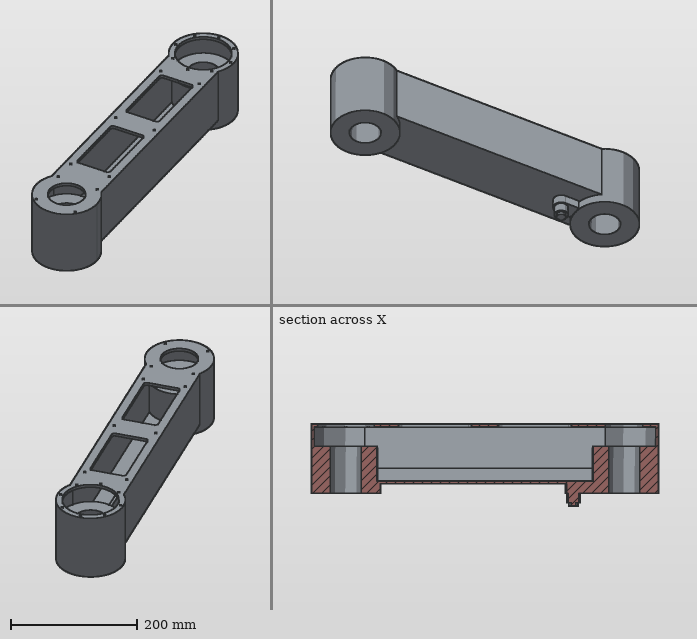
import cadquery as cq

END_SPACING = 440.0
END_DIAMETER = 110.0
END_HEIGHT = 110.0
BEAM_WIDTH = 90.0
BEAM_BOTTOM = 15.0
WALL = 5.0
LID_THICKNESS = 5.0

END_FLOOR_DEPTH = 35.0
BORE_DIAMETER = 50.0
FAR_OPENING_DIAMETER = 90.0
NEAR_OPENING_DIAMETER = 60.0

WINDOW_WIDTH = 60.0
WINDOW_LENGTH = 115.0
WINDOW_CENTER_Y = 79.0
WINDOW_CORNER_RADIUS = 5.0

RIB_WIDTH = 5.0
RIB_HEIGHT = 20.0

SCREW_DIAMETER = 3.24
SCREW_CIRCLE_DIAMETER = 100.0
FAR_SCREW_COUNT = 8
NEAR_SCREW_COUNT = 4
NEAR_SCREW_START_ANGLE = 45.0
BEAM_SCREW_X = 35.0
BEAM_SCREW_SPACING = 145.0

CONNECTOR_Y = -140.0
BOSS_WIDTH = 26.0
CONNECTOR_DIAMETER = 22.0
CONNECTOR_LENGTH = 15.0
TIP_DIAMETER = 15.0
TIP_LENGTH = 5.0

FAR_Y = END_SPACING / 2
NEAR_Y = -FAR_Y
LID_BOTTOM = END_HEIGHT - LID_THICKNESS
END_FLOOR = END_HEIGHT - END_FLOOR_DEPTH
CAVITY_FLOOR = BEAM_BOTTOM + WALL


def cylinder(y, diameter, bottom, top):
    """Upright cylinder on the arm's centre line."""
    return cq.Workplane("XY", origin=(0, y, bottom)).circle(diameter / 2).extrude(top - bottom)


def block(y, width, length, bottom, top):
    """Upright block on the arm's centre line."""
    return cq.Workplane("XY", origin=(0, y, bottom)).rect(width, length).extrude(top - bottom)


def make_body():
    body = block(0, BEAM_WIDTH, END_SPACING, BEAM_BOTTOM, END_HEIGHT)
    for y in (FAR_Y, NEAR_Y):
        body = body.union(cylinder(y, END_DIAMETER, 0, END_HEIGHT))
    return body


def make_cavity():
    """Deep beam cavity with a shallower round chamber in each end."""
    cavity = block(0, BEAM_WIDTH - 2 * WALL, END_SPACING, CAVITY_FLOOR, LID_BOTTOM)
    rib = block(0, RIB_WIDTH, END_SPACING, CAVITY_FLOOR, CAVITY_FLOOR + RIB_HEIGHT)
    cavity = cavity.cut(rib)
    chamber_diameter = END_DIAMETER - 2 * WALL
    for y in (FAR_Y, NEAR_Y):
        cavity = cavity.cut(cylinder(y, chamber_diameter, 0, END_FLOOR))
        cavity = cavity.union(cylinder(y, chamber_diameter, END_FLOOR, LID_BOTTOM))
    return cavity


def make_end_openings():
    openings = cylinder(FAR_Y, FAR_OPENING_DIAMETER, LID_BOTTOM, END_HEIGHT)
    openings = openings.union(cylinder(NEAR_Y, NEAR_OPENING_DIAMETER, LID_BOTTOM, END_HEIGHT))
    for y in (FAR_Y, NEAR_Y):
        openings = openings.union(cylinder(y, BORE_DIAMETER, 0, END_HEIGHT))
    return openings


def make_window(y):
    window = block(y, WINDOW_WIDTH, WINDOW_LENGTH, LID_BOTTOM, END_HEIGHT)
    return window.edges("|Z").fillet(WINDOW_CORNER_RADIUS)


def make_screw_holes():
    beam_rows = [-BEAM_SCREW_SPACING, 0, BEAM_SCREW_SPACING]
    beam_points = [(x, y) for x in (-BEAM_SCREW_X, BEAM_SCREW_X) for y in beam_rows]
    radius = SCREW_CIRCLE_DIAMETER / 2
    lid = cq.Workplane("XY", origin=(0, 0, LID_BOTTOM))
    holes = lid.pushPoints(beam_points).circle(SCREW_DIAMETER / 2).extrude(LID_THICKNESS)
    rings = [
        (FAR_Y, FAR_SCREW_COUNT, 0),
        (NEAR_Y, NEAR_SCREW_COUNT, NEAR_SCREW_START_ANGLE),
    ]
    for y, count, start_angle in rings:
        ring = lid.center(0, y).polarArray(radius, start_angle, 360, count)
        holes = holes.union(ring.circle(SCREW_DIAMETER / 2).extrude(LID_THICKNESS))
    return holes


def make_connector():
    """Round-nosed boss reaching back to the near end, with a stepped connector below it."""
    boss_end_y = NEAR_Y + END_DIAMETER / 2
    boss_length = CONNECTOR_Y - boss_end_y
    boss_middle_y = (CONNECTOR_Y + boss_end_y) / 2
    boss = block(boss_middle_y, BOSS_WIDTH, boss_length, 0, BEAM_BOTTOM)
    boss = boss.union(cylinder(CONNECTOR_Y, BOSS_WIDTH, 0, BEAM_BOTTOM))
    shank = cylinder(CONNECTOR_Y, CONNECTOR_DIAMETER, -CONNECTOR_LENGTH, 0)
    tip = cylinder(CONNECTOR_Y, TIP_DIAMETER, -CONNECTOR_LENGTH - TIP_LENGTH, -CONNECTOR_LENGTH)
    return boss.union(shank).union(tip)


result = make_body().cut(make_cavity()).cut(make_end_openings()).cut(make_screw_holes())
for window_y in (-WINDOW_CENTER_Y, WINDOW_CENTER_Y):
    result = result.cut(make_window(window_y))
result = result.union(make_connector())